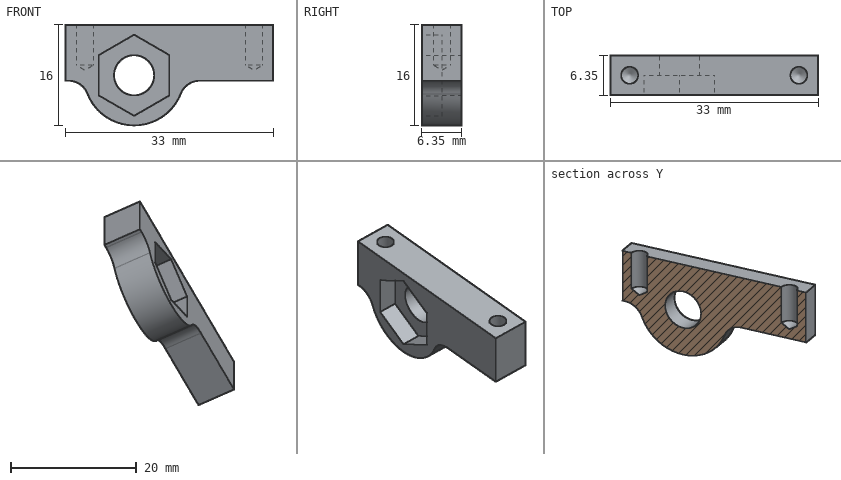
import cadquery as cq
import math

bar_length = 33.02
thickness = 6.35
bar_height = 8.89

total_height = 16.0
lug_radius = 8.0
lug_x = 10.922
lug_z = lug_radius - total_height
blend_radius = 3.175

bore_diameter = 6.35
hex_sides = 6
nut_across_flats = 11.176
nut_depth = 3.175

screw_diameter = 2.7
screw_depth = 6.35
screw_end_offset = 3.048
drill_point_angle = 118.0


def make_body():
    """Bar and lug in one outline, joined by concave blends tangent to both."""
    bar_bottom = -bar_height
    blend_z = bar_bottom - blend_radius
    center_distance = lug_radius + blend_radius
    drop = lug_z - blend_z
    reach = math.sqrt(center_distance**2 - drop**2)
    angle = math.asin(drop / center_distance)
    tangent_dx = lug_radius * math.cos(angle)
    tangent_z = lug_z - lug_radius * math.sin(angle)
    mid_angle = (math.pi / 2 + angle) / 2
    mid_dx = reach - blend_radius * math.cos(mid_angle)
    mid_z = blend_z + blend_radius * math.sin(mid_angle)

    return (
        cq.Workplane("XZ", origin=(0, thickness / 2, 0))
        .moveTo(0, 0)
        .lineTo(bar_length, 0)
        .lineTo(bar_length, bar_bottom)
        .lineTo(lug_x + reach, bar_bottom)
        .threePointArc((lug_x + mid_dx, mid_z), (lug_x + tangent_dx, tangent_z))
        .threePointArc((lug_x, -total_height), (lug_x - tangent_dx, tangent_z))
        .threePointArc((lug_x - mid_dx, mid_z), (lug_x - reach, bar_bottom))
        .lineTo(0, bar_bottom)
        .close()
        .extrude(thickness)
    )


def make_bore():
    """Through bore along Y at the lug centre."""
    return (
        cq.Workplane("XZ", origin=(lug_x, thickness / 2, lug_z))
        .circle(bore_diameter / 2)
        .extrude(thickness)
    )


def make_nut_pocket():
    """Hexagonal pocket in the -Y face with a corner pointing up."""
    across_corners = nut_across_flats / math.cos(math.pi / hex_sides)
    return (
        cq.Workplane("XZ", origin=(lug_x, nut_depth - thickness / 2, lug_z))
        .transformed(rotate=(0, 0, 90))
        .polygon(hex_sides, across_corners)
        .extrude(nut_depth)
    )


def make_screw_hole(x):
    """Blind hole with a conical drill point, revolved about its own axis."""
    radius = screw_diameter / 2
    point_depth = radius / math.tan(math.radians(drill_point_angle / 2))
    return (
        cq.Workplane("XZ", origin=(x, 0, 0))
        .moveTo(0, 0)
        .lineTo(radius, 0)
        .lineTo(radius, -screw_depth)
        .lineTo(0, -screw_depth - point_depth)
        .close()
        .revolve(360, (0, 0, 0), (0, 1, 0))
    )


result = make_body().cut(make_bore()).cut(make_nut_pocket())
for hole_x in (screw_end_offset, bar_length - screw_end_offset):
    result = result.cut(make_screw_hole(hole_x))